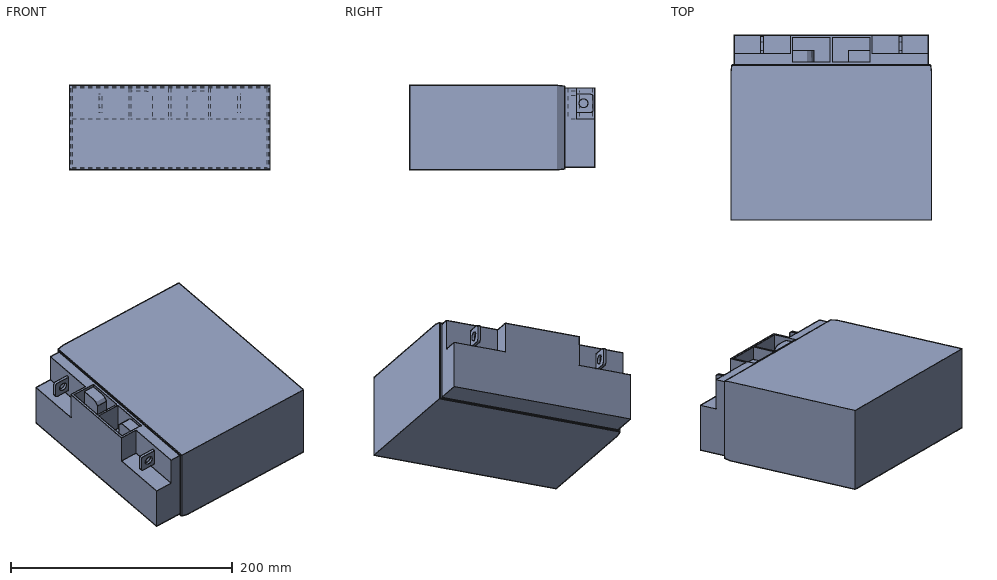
import cadquery as cq
import math

case_width = 181.1
case_height = 76.5
case_length = 133.1
overall_length = 166.8

shoulder_length = 6.2
shoulder_taper = 0.7
shoulder_lip = 0.9
shoulder_edge_chamfer = 0.7

block_width = 175.3
block_height = 71.7
block_top = block_height / 2

notch_inner_x = 36.8
notch_length = 16.7
notch_depth = 28.3
notch_front_y = overall_length - notch_length

blade_x = 62.3
blade_thickness = 2.5
blade_length = 15.2
blade_height = 16.3
blade_top = block_top - 5.8
blade_corner_radius = 2.2
blade_hole_diameter = 8.0
blade_hole_y = overall_length - 10.1

pocket_inner_x = 0.9
pocket_outer_x = 34.8
pocket_wall = 2.2
pocket_length = 22.1
pocket_depth = notch_depth
pocket_back_y = overall_length - pocket_wall
pocket_front_y = pocket_back_y - pocket_length
shelf_inner_x = 15.8
shelf_length = 10.3
shelf_drop = 2.9
shelf_round_width = 6.5
shelf_radius = 7.2


def box_between(x0, x1, y0, y1, z0, z1):
    """Box spanning the given limits along each axis."""
    return cq.Workplane("XY").box(x1 - x0, y1 - y0, z1 - z0, centered=False).translate((x0, y0, z0))


def section_at(y):
    """Workplane facing +Y, centred on the case."""
    return cq.Workplane("XZ", origin=(0, y, 0)).transformed(rotate=(180, 0, 0))


def make_case():
    return section_at(0).rect(case_width, case_height).extrude(case_length)


def make_shoulder():
    end_width = case_width - 2 * shoulder_taper
    end_height = case_height - 2 * shoulder_taper
    taper = (
        section_at(case_length)
        .rect(case_width, case_height)
        .workplane(offset=shoulder_length)
        .rect(end_width, end_height)
        .loft(ruled=True)
    )
    lip = (
        section_at(case_length + shoulder_length)
        .rect(end_width, end_height)
        .extrude(shoulder_lip)
        .faces(">Y")
        .chamfer(shoulder_edge_chamfer)
    )
    return taper.union(lip)


def make_block():
    return section_at(case_length).rect(block_width, block_height).extrude(overall_length - case_length)


def make_notch():
    return box_between(
        notch_inner_x, block_width / 2,
        notch_front_y, overall_length,
        block_top - notch_depth, block_top,
    )


def make_blade():
    blade = box_between(
        blade_x - blade_thickness / 2, blade_x + blade_thickness / 2,
        notch_front_y, notch_front_y + blade_length,
        blade_top - blade_height, blade_top,
    )
    blade = blade.faces(">Y").edges("|X").fillet(blade_corner_radius)
    hole = (
        cq.Workplane("YZ", origin=(blade_x, blade_hole_y, blade_top - blade_height / 2))
        .circle(blade_hole_diameter / 2)
        .extrude(blade_thickness, both=True)
    )
    return blade.cut(hole)


def make_pocket():
    return box_between(
        pocket_inner_x, pocket_outer_x,
        pocket_front_y, pocket_back_y,
        block_top - pocket_depth, block_top,
    )


def make_shelf():
    """Shelf whose inner upper edge is rounded by an arc that meets the upright face at a corner."""
    shelf_top = block_top - shelf_drop
    floor = block_top - pocket_depth
    arc_start_x = shelf_inner_x + shelf_round_width
    arc_angle = math.asin(shelf_round_width / shelf_radius)

    def arc_point(angle):
        x = arc_start_x - shelf_radius * math.sin(angle)
        z = shelf_top - shelf_radius * (1 - math.cos(angle))
        return x, z

    return (
        cq.Workplane("XZ", origin=(0, pocket_front_y, 0))
        .moveTo(pocket_outer_x, floor)
        .lineTo(pocket_outer_x, shelf_top)
        .lineTo(arc_start_x, shelf_top)
        .threePointArc(arc_point(arc_angle / 2), arc_point(arc_angle))
        .lineTo(shelf_inner_x, floor)
        .close()
        .extrude(-shelf_length)
    )


def both_sides(shape):
    """The shape together with its mirror image across the middle plane x = 0."""
    return shape.union(shape.mirror("YZ"))


result = make_case().union(make_shoulder()).union(make_block())
result = result.cut(both_sides(make_notch())).union(both_sides(make_blade()))
result = result.cut(both_sides(make_pocket())).union(both_sides(make_shelf()))